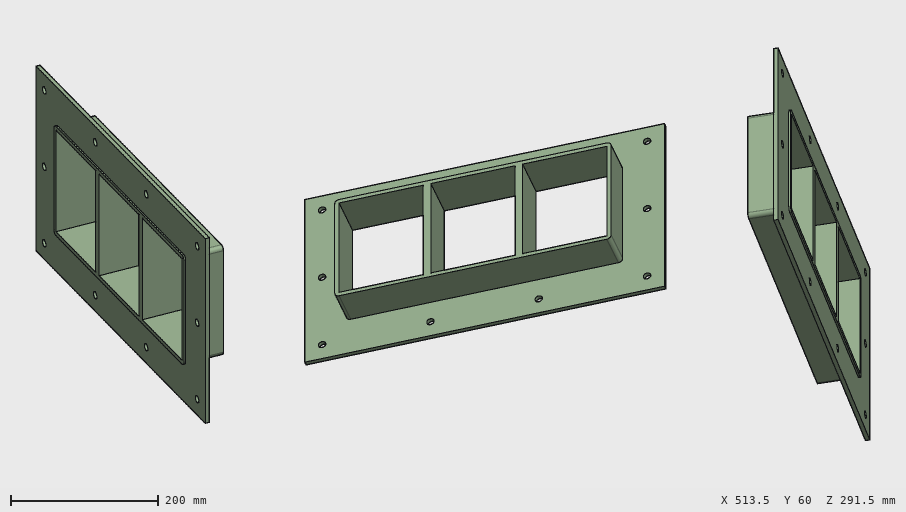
import cadquery as cq

plate_width = 513.5
plate_height = 291.5
plate_thickness = 6.0

frame_depth = 60.0
front_lip = 2.5
wall = 6.0
bay_width = 120.0
bay_height = 160.0
divider = 11.0
bay_count = 3
corner_radius = 6.0

hole_diameter = 10.5
hole_pitch_x = 154.5
hole_pitch_z = 120.5
hole_columns = 4
hole_rows = 3

bay_pitch = bay_width + divider
frame_width = bay_count * bay_width + (bay_count - 1) * divider + 2 * wall
frame_height = bay_height + 2 * wall


def block(width, height, front, depth):
    """Block centred in X and Z, running towards +Y from its front face."""
    return cq.Workplane("XY").box(width, depth, height).translate((0, front + depth / 2, 0))


def make_plate():
    return block(plate_width, plate_height, front_lip, plate_thickness)


def make_frame():
    return block(frame_width, frame_height, 0, frame_depth).edges("|Y").fillet(corner_radius)


def make_bays():
    bay = block(bay_width, bay_height, 0, frame_depth)
    bays = cq.Workplane("XY")
    for index in range(bay_count):
        x = (index - (bay_count - 1) / 2) * bay_pitch
        bays = bays.add(bay.translate((x, 0, 0)))
    return bays.combine()


def make_holes():
    points = []
    for column in range(hole_columns):
        for row in range(hole_rows):
            on_edge = column in (0, hole_columns - 1) or row in (0, hole_rows - 1)
            if on_edge:
                x = (column - (hole_columns - 1) / 2) * hole_pitch_x
                z = (row - (hole_rows - 1) / 2) * hole_pitch_z
                points.append((x, z))
    return cq.Workplane("XZ").pushPoints(points).circle(hole_diameter / 2).extrude(-frame_depth)


result = make_plate().cut(make_holes()).union(make_frame()).cut(make_bays())